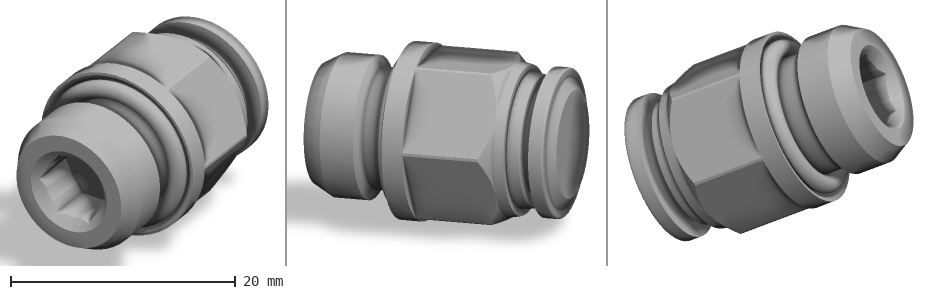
import cadquery as cq
import math

LENGTH = 23.4

thread_radius = 6.5
neck_radius = 5.52
tip_chamfer_end = 1.8
thread_end = 4.91
neck_start = 5.48

flange_radius = 8.0
flange_start = 8.05
flange_end = 10.02
dish_rim_radius = 7.75
ring_section_radius = 0.85
ring_outer_radius = 7.2
ring_center_radius = ring_outer_radius - ring_section_radius
dish_depth = 0.75
dish_floor_radius = 7.07

hex_flats = 14.0
hex_bevel_start = 17.04
hex_end = 18.06

shoulder_end = 19.07
shoulder_end_radius = 6.79
step_end = 20.35
step_base_radius = 6.15
step_end_radius = 6.01
step_chamfer = 0.1

collar_neck_radius = 5.0
collar_start = 21.36
collar_radius = 6.79
collar_rim_end = 22.72
collar_rim_round = 0.19
collar_fillet = 0.45
collar_cone_base_radius = 5.97
collar_tip_radius = 4.9

socket_flats = 5.97
socket_bore_radius = 3.07
socket_mouth_radius = 3.98
socket_mouth_depth = 0.91
socket_depth = 4.91


def turned(profile):
    """Revolve a closed (radius, Y) profile about the Y axis."""
    return profile.close().revolve(360, (0, 0, 0), (0, 1, 0))


def hex_prism(flats, start, end):
    """Hexagonal prism along Y with corners on the X axis."""
    corner_diameter = flats / math.cos(math.pi / 6)
    plane = cq.Workplane("XZ", origin=(0, start, 0))
    return plane.polygon(6, corner_diameter).extrude(start - end)


def threaded_end_and_flange():
    profile = cq.Workplane("XY").polyline([
        (0, 0),
        (neck_radius, 0),
        (thread_radius, tip_chamfer_end),
        (thread_radius, thread_end),
        (neck_radius, neck_start),
        (neck_radius, flange_start + dish_depth),
        (dish_floor_radius, flange_start + dish_depth),
        (dish_rim_radius, flange_start),
        (flange_radius, flange_start),
        (flange_radius, flange_end),
        (0, flange_end),
    ])
    return turned(profile)


def sealing_ring():
    section = cq.Workplane("XY").center(ring_center_radius, flange_start).circle(ring_section_radius)
    return section.revolve(360, (-ring_center_radius, 0, 0), (-ring_center_radius, 1, 0))


def hexagon():
    """Hexagon with its corners trimmed by the flange diameter and a conical bevel."""
    envelope = turned(cq.Workplane("XY").polyline([
        (0, flange_end),
        (flange_radius, flange_end),
        (flange_radius, hex_bevel_start),
        (hex_flats / 2, hex_end),
        (0, hex_end),
    ]))
    return hex_prism(hex_flats, flange_end, hex_end).intersect(envelope)


def shoulder_and_collar():
    round_offset = collar_rim_round * (1 - math.sqrt(0.5))
    fillet_offset = collar_fillet * (1 - math.sqrt(0.5))
    profile = (
        cq.Workplane("XY")
        .moveTo(0, hex_end)
        .lineTo(hex_flats / 2, hex_end)
        .lineTo(shoulder_end_radius, shoulder_end)
        .lineTo(step_base_radius - step_chamfer, shoulder_end)
        .lineTo(step_base_radius, shoulder_end + step_chamfer)
        .lineTo(step_end_radius, step_end - step_chamfer)
        .lineTo(step_end_radius - step_chamfer, step_end)
        .lineTo(collar_neck_radius, step_end)
        .lineTo(collar_neck_radius, collar_start - collar_fillet)
        .threePointArc(
            (collar_neck_radius + fillet_offset, collar_start - fillet_offset),
            (collar_neck_radius + collar_fillet, collar_start),
        )
        .lineTo(collar_radius, collar_start)
        .lineTo(collar_radius, collar_rim_end - collar_rim_round)
        .threePointArc(
            (collar_radius - round_offset, collar_rim_end - round_offset),
            (collar_radius - collar_rim_round, collar_rim_end),
        )
        .lineTo(collar_cone_base_radius, collar_rim_end)
        .lineTo(collar_tip_radius, LENGTH)
        .lineTo(0, LENGTH)
    )
    return turned(profile)


def socket():
    """Hexagon relieved by a bore slightly wider than its flats, with a conical mouth."""
    bore = turned(cq.Workplane("XY").polyline([
        (0, 0),
        (socket_mouth_radius, 0),
        (socket_bore_radius, socket_mouth_depth),
        (socket_bore_radius, socket_depth),
        (0, socket_depth),
    ]))
    return bore.union(hex_prism(socket_flats, 0, socket_depth))


result = (
    threaded_end_and_flange()
    .union(sealing_ring())
    .union(hexagon())
    .union(shoulder_and_collar())
    .cut(socket())
)